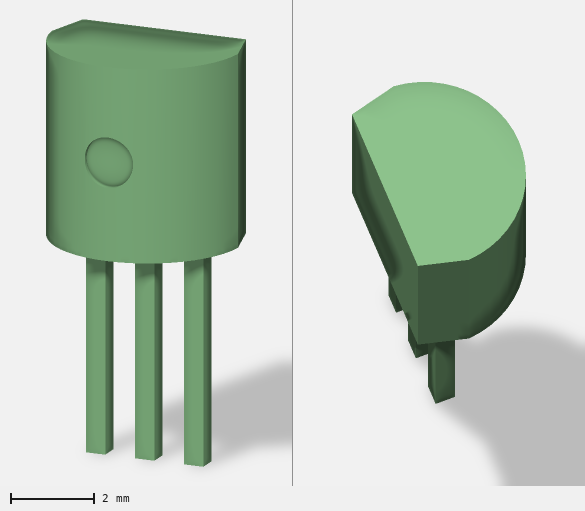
import cadquery as cq

total_height = 10.37
body_width = 4.83
body_depth = 3.43

body_height = 4.82
back_width = 4.22
cheek_depth = 1.19

mark_diameter = 1.25
mark_drop = 2.37
mark_depth = 0.2

lead_size = 0.5
lead_pitch = 1.27
lead_count = 3

lead_length = total_height - body_height
cheek_y = -cheek_depth
front_y = -body_depth
lead_center_y = cheek_y + lead_size / 2


def make_body():
    """D-shaped body standing on Z = 0."""
    return (
        cq.Workplane("XY")
        .moveTo(-back_width / 2, 0)
        .lineTo(back_width / 2, 0)
        .lineTo(body_width / 2, cheek_y)
        .threePointArc((0, front_y), (-body_width / 2, cheek_y))
        .close()
        .extrude(body_height)
    )


def make_mark_cutter():
    """Cylinder whose flat end forms the floor of the round mark."""
    return (
        cq.Workplane("XZ", origin=(0, front_y + mark_depth, body_height - mark_drop))
        .circle(mark_diameter / 2)
        .extrude(mark_depth)
    )


def make_leads():
    """Row of square leads hanging below the body."""
    return (
        cq.Workplane("XY", origin=(0, lead_center_y, 0))
        .rarray(lead_pitch, 0.1, lead_count, 1)
        .rect(lead_size, lead_size)
        .extrude(-lead_length)
    )


result = make_body().cut(make_mark_cutter()).union(make_leads())